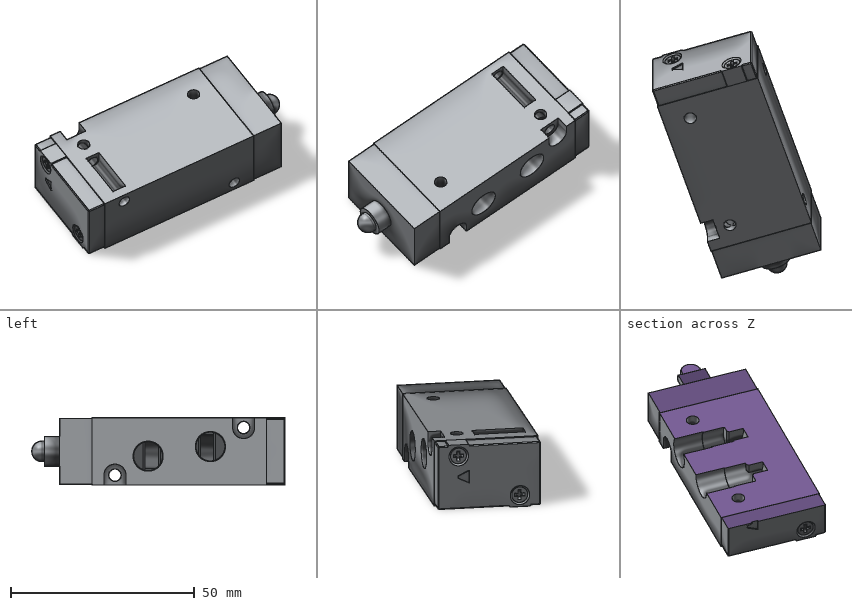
import cadquery as cq

body_width = 28.7
body_height = 18.4
body_length = 47.4

mount_hole_diameter = 3.3
mount_hole_inset = 6.2
vertical_hole_x = -6.95
cross_hole_z = 6.5
recess_width = 6.0
recess_depth = 3.5

port_diameter = 8.2
port_mouth_depth = 8.3
port_bore_diameter = 7.85
port_offset_y = 8.5
port_offset_z = 1.3
port_depth = body_width / 2
chamber_radius = 4.7
chamber_length = 3.6
chamber_chamfer = 0.55
chamber_offset_y = 7.5

slot_start_x = -2.35
slot_length = 14.05
slot_width = 4.0
slot_fillet = 1.45
slot_depth = body_height / 2 - cross_hole_z + mount_hole_diameter / 2

drive_cap_width = 28.4
drive_cap_height = 18.0
drive_cap_length = 8.9
bushing_diameter = 8.2
bushing_length = 4.1
plunger_diameter = 5.65
plunger_shank = 0.6

end_cap_width = 28.4
end_cap_height = 17.85
end_cap_length = 5.0
end_cap_chamfer = 0.3
tab_top_width = 5.5
tab_base_width = 6.2
tab_height = body_height / 2
screw_x = 8.5
screw_z = 5.9
screw_head_diameter = 4.4
screw_head_length = 2.1
screw_sink = 0.4
countersink_diameter = 5.4
cross_width = 0.8
cross_span = 2.8
cross_floor_span = 1.65
cross_depth = 0.8

arrow_tip_x = -8.55
arrow_base_x = -5.5
arrow_tip_width = 0.7
arrow_base_width = 3.6
arrow_depth = 0.4

body_middle_y = body_length / 2
hole_ys = (mount_hole_inset, body_length - mount_hole_inset)
end_face_y = -end_cap_length
screw_positions = ((-screw_x, screw_z), (screw_x, -screw_z))


def box_along_y(width, height, length, start_y):
    """Box centred on X and Z, reaching from start_y towards +Y."""
    return cq.Workplane("XY").box(width, length, height).translate((0, start_y + length / 2, 0))


def cylinder_along_y(diameter, length, x, start_y, z):
    """Cylinder reaching from start_y towards +Y."""
    solid = cq.Solid.makeCylinder(diameter / 2, length, cq.Vector(x, start_y, z), cq.Vector(0, 1, 0))
    return cq.Workplane(obj=solid)


def cylinder_from_left(diameter, depth, y, z):
    """Cylinder reaching from the -X side of the body towards +X."""
    start = cq.Vector(-body_width / 2, y, z)
    return cq.Workplane(obj=cq.Solid.makeCylinder(diameter / 2, depth, start, cq.Vector(1, 0, 0)))


def vertical_hole(y):
    start = cq.Vector(vertical_hole_x, y, -body_height / 2)
    return cq.Workplane(obj=cq.Solid.makeCylinder(mount_hole_diameter / 2, body_height, start))


def cross_hole_recess(y, side):
    """Round-ended recess around a cross hole, open to the top (side 1) or bottom (side -1)."""
    open_height = body_height / 2 - cross_hole_z
    round_end = cylinder_from_left(recess_width, recess_depth, y, side * cross_hole_z)
    mouth = cq.Workplane("XY").box(recess_depth, recess_width, open_height).translate((
        (recess_depth - body_width) / 2,
        y,
        side * (cross_hole_z + open_height / 2),
    ))
    return round_end.union(mouth)


def stepped_port(y, z):
    mouth = cylinder_from_left(port_diameter, port_mouth_depth, y, z)
    return mouth.union(cylinder_from_left(port_bore_diameter, port_depth, y, z))


def valve_chamber(middle_y, port_y, port_z):
    """Round-backed chamber in the port floor, with chamfered ends, kept within the port bore."""
    inner_half = chamber_length / 2
    outer_half = inner_half + chamber_chamfer
    mouth_outline = [
        (0, middle_y - outer_half),
        (0, middle_y + outer_half),
        (chamber_chamfer, middle_y + inner_half),
        (chamber_chamfer, middle_y - inner_half),
    ]
    mouth = cq.Workplane("XY").polyline(mouth_outline).close().extrude(body_height / 2, both=True)
    back = cylinder_along_y(2 * chamber_radius, chamber_length, 0, middle_y - inner_half, 0)
    bore = cylinder_from_left(port_bore_diameter, port_depth + chamber_radius, port_y, port_z)
    return bore.intersect(mouth.union(back))


def top_slot():
    """Blind slot with rounded lower edges."""
    slot = cq.Workplane("XY").box(slot_length, slot_width, slot_depth)
    slot = slot.edges("|X and <Z").fillet(slot_fillet)
    return slot.translate((
        slot_start_x + slot_length / 2,
        mount_hole_inset,
        (body_height - slot_depth) / 2,
    ))


def make_valve_body():
    """Block whose two ends carry the same holes and port, half a turn about X apart, plus the slot."""
    body = box_along_y(body_width, body_height, body_length, 0)
    for hole_y, side in zip(hole_ys, (1, -1)):
        port_y = body_middle_y - side * port_offset_y
        port_z = side * port_offset_z
        chamber_y = body_middle_y - side * chamber_offset_y
        body = body.cut(vertical_hole(hole_y))
        body = body.cut(cylinder_from_left(mount_hole_diameter, body_width, hole_y, side * cross_hole_z))
        body = body.cut(cross_hole_recess(hole_y, side))
        body = body.cut(stepped_port(port_y, port_z))
        body = body.cut(valve_chamber(chamber_y, port_y, port_z))
    return body.cut(top_slot())


def make_drive_cap():
    return box_along_y(drive_cap_width, drive_cap_height, drive_cap_length, body_length)


def make_bushing():
    return cylinder_along_y(bushing_diameter, bushing_length, 0, body_length + drive_cap_length, 0)


def make_plunger():
    """Short shank with a hemispherical tip."""
    radius = plunger_diameter / 2
    shank_start_y = body_length + drive_cap_length + bushing_length
    dome_y = shank_start_y + plunger_shank
    shank = cylinder_along_y(plunger_diameter, plunger_shank, 0, shank_start_y, 0)
    dome = cq.Workplane("XY").moveTo(0, dome_y).lineTo(radius, dome_y)
    dome = dome.radiusArc((0, dome_y + radius), -radius).close()
    dome = dome.revolve(360, (0, dome_y), (0, dome_y + radius))
    return shank.union(dome)


def screw_tab(x, side):
    """Low tab with sloping flanks over (side 1) or under (side -1) a screw."""
    base_z = side * (end_cap_height / 2 - end_cap_chamfer)
    top_z = side * tab_height
    outline = [
        (x - tab_base_width / 2, base_z),
        (x + tab_base_width / 2, base_z),
        (x + tab_top_width / 2, top_z),
        (x - tab_top_width / 2, top_z),
    ]
    return cq.Workplane("XZ").polyline(outline).close().extrude(end_cap_length)


def screw_seat(x, z):
    """Room for a screw head with a conical mouth at the cap face."""
    seat = cylinder_along_y(screw_head_diameter, screw_sink + screw_head_length, x, end_face_y, z)
    mouth = cq.Solid.makeCone(
        countersink_diameter / 2,
        screw_head_diameter / 2,
        screw_sink,
        cq.Vector(x, end_face_y, z),
        cq.Vector(0, 1, 0),
    )
    return seat.union(cq.Workplane(obj=mouth))


def arrow():
    outline = [
        (arrow_tip_x, -arrow_tip_width / 2),
        (arrow_base_x, -arrow_base_width / 2),
        (arrow_base_x, arrow_base_width / 2),
        (arrow_tip_x, arrow_tip_width / 2),
    ]
    face = cq.Workplane("XZ", origin=(0, end_face_y, 0))
    return face.polyline(outline).close().extrude(-arrow_depth)


def make_end_cap():
    cap = box_along_y(end_cap_width, end_cap_height, end_cap_length, end_face_y)
    cap = cap.edges("|Y or <Y").chamfer(end_cap_chamfer)
    for (x, z), side in zip(screw_positions, (1, -1)):
        cap = cap.union(screw_tab(x, side)).cut(screw_seat(x, z))
    return cap.cut(arrow())


def cross_arm():
    """One bar of the cross recess along X, its ends sloping in towards the floor at Y = cross_depth."""
    outline = [
        (-cross_span / 2, 0),
        (cross_span / 2, 0),
        (cross_floor_span / 2, cross_depth),
        (-cross_floor_span / 2, cross_depth),
    ]
    return cq.Workplane("XY").polyline(outline).close().extrude(cross_width / 2, both=True)


def make_screw(x, z):
    head_y = end_face_y + screw_sink
    screw = cylinder_along_y(screw_head_diameter, screw_head_length, x, head_y, z)
    for angle in (0, 90):
        arm = cross_arm().rotate((0, 0, 0), (0, 1, 0), angle)
        screw = screw.cut(arm.translate((x, head_y, z)))
    return screw


valve_body = make_valve_body()
drive_cap = make_drive_cap()
bushing = make_bushing()
plunger = make_plunger()
end_cap = make_end_cap()
screws = [make_screw(x, z) for x, z in screw_positions]

result = cq.Compound.makeCompound([
    valve_body.val(),
    drive_cap.val(),
    bushing.val(),
    plunger.val(),
    end_cap.val(),
    *[screw.val() for screw in screws],
])